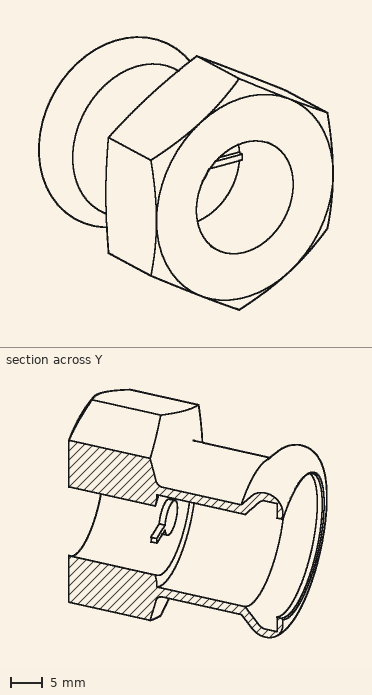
import cadquery as cq
import math

length = 36.0
hex_across_corners = 39.25
corner_radius = hex_across_corners / 2
flat_radius = corner_radius * math.cos(math.radians(30))

tube_radius = 25.2 / 2
bore_radius = 22.2 / 2
bead_radius = 3.0
bead_end = 7.03
groove_radius = bead_radius - (tube_radius - bore_radius)
lip_radius = 23.3 / 2
lip_chamfer = 0.25
lip_depth = 1.05

neck_start = 20.25
neck_fillet = 1.05
front_cone_angle = math.radians(15)
back_cone_angle = math.radians(30)

shoulder_x = 21.2
shoulder_radius = 10.2
outlet_radius = 18.65 / 2
shoulder_bevel_depth = 0.25
disc_radius = 5.6 / 2
arm_width = 1.0
disc_thickness = 1.0


def revolve_about_x(profile):
    return profile.close().revolve(360, (0, 0, 0), (1, 0, 0))


def circle_point(radius, angle):
    """Point on a circle about the bead centre, measured from the +X direction."""
    return (bead_radius + radius * math.cos(angle), tube_radius + radius * math.sin(angle))


tangent_angle = math.acos(bead_radius / (bead_end - bead_radius))

fillet_turn = math.pi / 2 - front_cone_angle
cone_start = (
    neck_start + neck_fillet * math.sin(fillet_turn),
    tube_radius + neck_fillet * (1 - math.cos(fillet_turn)),
)
fillet_middle = (
    neck_start + neck_fillet * math.sin(fillet_turn / 2),
    tube_radius + neck_fillet * (1 - math.cos(fillet_turn / 2)),
)
front_corner_x = cone_start[0] + (corner_radius - cone_start[1]) * math.tan(front_cone_angle)
back_corner_x = length - (corner_radius - flat_radius) * math.tan(back_cone_angle)


def make_outer_body():
    turned = revolve_about_x(
        cq.Workplane("XY")
        .lineTo(0, tube_radius)
        .threePointArc(circle_point(bead_radius, math.pi / 2), circle_point(bead_radius, tangent_angle))
        .lineTo(bead_end, tube_radius)
        .lineTo(neck_start, tube_radius)
        .threePointArc(fillet_middle, cone_start)
        .lineTo(front_corner_x, corner_radius)
        .lineTo(back_corner_x, corner_radius)
        .lineTo(length, flat_radius)
        .lineTo(length, 0)
    )
    hexagon = cq.Workplane("YZ").polygon(6, hex_across_corners).extrude(length)
    hexagon = hexagon.rotate((0, 0, 0), (1, 0, 0), 90)
    return turned.intersect(hexagon)


def make_inner_cavity():
    groove_top = circle_point(groove_radius, math.pi / 2)
    groove_middle = circle_point(groove_radius, (math.pi / 2 + tangent_angle) / 2)
    groove_end = circle_point(groove_radius, tangent_angle)
    bore_start = groove_end[0] + (groove_end[1] - bore_radius) * math.tan(tangent_angle)
    return revolve_about_x(
        cq.Workplane("XY")
        .lineTo(0, lip_radius + lip_chamfer)
        .lineTo(lip_chamfer, lip_radius)
        .lineTo(lip_depth, lip_radius)
        .lineTo(lip_depth, groove_top[1])
        .lineTo(*groove_top)
        .threePointArc(groove_middle, groove_end)
        .lineTo(bore_start, bore_radius)
        .lineTo(shoulder_x, bore_radius)
        .lineTo(shoulder_x, shoulder_radius)
        .lineTo(shoulder_x + shoulder_bevel_depth, outlet_radius)
        .lineTo(length, outlet_radius)
        .lineTo(length, 0)
    )


def make_disc_and_arm():
    shoulder_plane = cq.Workplane("YZ", origin=(shoulder_x, 0, 0))
    disc = shoulder_plane.circle(disc_radius).extrude(disc_thickness)
    arm = shoulder_plane.center(bore_radius / 2, 0).rect(bore_radius, arm_width).extrude(disc_thickness)
    return disc.union(arm)


result = make_outer_body().cut(make_inner_cavity()).union(make_disc_and_arm())